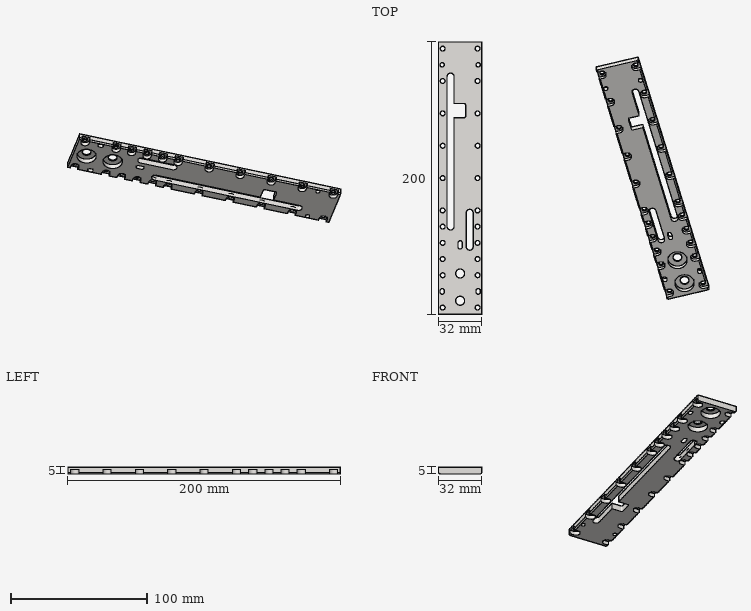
import cadquery as cq

length = 200.0
width = 32.0
thickness = 5.0
edge_chamfer = 1.0

end_margin = 5.0
pitch_count = 16
first_hole_y = length / 2 - end_margin
pitch = 2 * first_hole_y / pitch_count
screw_steps = (0, 2, 4, 6, 8, 10, 11, 12, 13, 14, 16)
screw_x = 12.8
screw_diameter = 3.5
recess_width = 6.0
recess_depth = 3.2
dowel_x = 13.2
dowel_diameter = 3.0
dowel_step = 1
dowel_slot_step = 15
dowel_slot_length = 4.0

slot_width = 5.0
slot_x = 7.0
long_slot_top = 77.0
long_slot_bottom = -38.0
notch_right = 4.0
notch_top = 54.5
notch_bottom = 44.5
notch_fillet = 1.0

short_slot_top = -23.0
short_slot_bottom = -52.8
small_slot_width = 3.0
small_slot_top = -46.0
small_slot_bottom = -52.0
large_hole_diameter = 6.5
counterbore_diameter = 14.2
counterbore_depth = 4.0
large_hole_ys = (-70.0, -90.0)


def round_cut(x, y, diameter, depth=thickness):
    """Cylinder rising from the underside, through the whole plate unless a depth is given."""
    return cq.Workplane("XY").center(x, y).circle(diameter / 2).extrude(depth)


def recess_cut(side, y):
    """U-shaped head recess in the underside, round about the screw and open at the side face."""
    round_end = cq.Workplane("XY").center(side * screw_x, y).circle(recess_width / 2).extrude(recess_depth)
    mouth_length = width / 2 - screw_x
    mouth_x = side * (screw_x + mouth_length / 2)
    mouth = cq.Workplane("XY").center(mouth_x, y).rect(mouth_length, recess_width).extrude(recess_depth)
    return round_end.union(mouth)


def slot_cut(x, top, bottom, slot_size):
    """Round-ended through slot running along Y between two end positions."""
    middle = (top + bottom) / 2
    return cq.Workplane("XY").center(x, middle).slot2D(top - bottom, slot_size, 90).extrude(thickness)


def hole_y(step):
    """Y position of a hole, counted in pitches from the +Y end."""
    return first_hole_y - step * pitch


def make_plate():
    """Flat bar with the two long bottom edges chamfered."""
    plate = cq.Workplane("XY").box(width, length, thickness, centered=(True, True, False))
    return plate.faces("<Z").edges("|Y").chamfer(edge_chamfer)


def make_notch():
    """Rectangular notch opening into the long slot, rounded at its far corners."""
    notch_width = notch_right + slot_x
    notch_height = notch_top - notch_bottom
    notch = cq.Workplane("XY").box(notch_width, notch_height, thickness, centered=(False, False, False))
    return notch.edges("|Z and >X").fillet(notch_fillet).translate((-slot_x, notch_bottom, 0))


result = make_plate()

for side in (-1, 1):
    for step in screw_steps:
        result = result.cut(round_cut(side * screw_x, hole_y(step), screw_diameter))
        result = result.cut(recess_cut(side, hole_y(step)))
    result = result.cut(round_cut(side * dowel_x, hole_y(dowel_step), dowel_diameter))
    slot_middle = hole_y(dowel_slot_step)
    half_slot = dowel_slot_length / 2
    result = result.cut(
        slot_cut(side * dowel_x, slot_middle + half_slot, slot_middle - half_slot, dowel_diameter)
    )

result = result.cut(slot_cut(-slot_x, long_slot_top, long_slot_bottom, slot_width))
result = result.cut(make_notch())

result = result.cut(slot_cut(slot_x, short_slot_top, short_slot_bottom, slot_width))
result = result.cut(slot_cut(0, small_slot_top, small_slot_bottom, small_slot_width))
for large_hole_y in large_hole_ys:
    result = result.cut(round_cut(0, large_hole_y, large_hole_diameter))
    result = result.cut(round_cut(0, large_hole_y, counterbore_diameter, counterbore_depth))